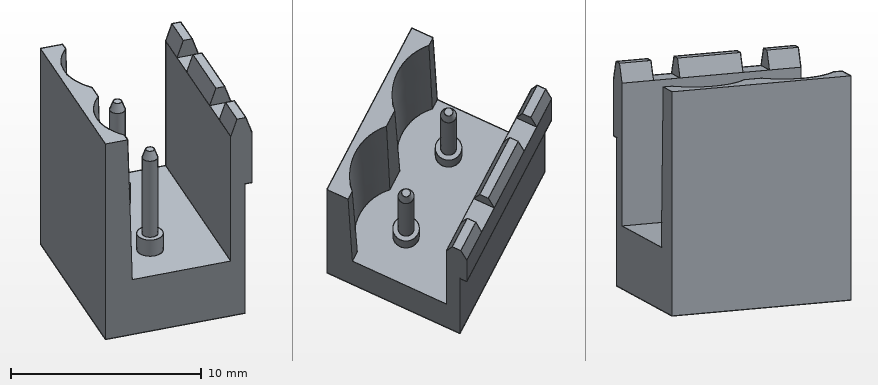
import cadquery as cq


PITCH = 5.08
POLES = 2
LENGTH = PITCH * POLES
HEIGHT = 12.1
FLOOR_Z = 3.4

FRONT_WALL_BASE = 1.5
FRONT_WALL_TOP = 1.25
WALL_DRAFT = FRONT_WALL_BASE - FRONT_WALL_TOP

REAR_INNER_Y = 7.0
REAR_OUTER_Y = 7.8
LIP_Y = 8.2
LIP_Z = 8.0
BEVEL_Z = 11.1
CREST_WIDTH = 0.5
CREST_Y = (REAR_INNER_Y + LIP_Y) / 2
NOTCH_WIDTH = 1.5

PIN_Y = 3.4
COLLAR_DIAMETER = 1.4
COLLAR_TOP_Z = 4.4
PIN_DIAMETER = 0.84
PIN_TAPER_Z = 9.1
PIN_TOP_Z = 9.6
PIN_TIP_DIAMETER = 0.46

SCALLOP_TOP_RADIUS = 2.97
SCALLOP_BASE_RADIUS = SCALLOP_TOP_RADIUS - WALL_DRAFT

pole_xs = [PITCH * (i - (POLES - 1) / 2) for i in range(POLES)]


def make_body():
    """U-shaped housing extruded along the row."""
    profile = [
        (0, 0),
        (REAR_OUTER_Y, 0),
        (REAR_OUTER_Y, LIP_Z),
        (LIP_Y, LIP_Z),
        (LIP_Y, BEVEL_Z),
        (CREST_Y + CREST_WIDTH / 2, HEIGHT),
        (CREST_Y - CREST_WIDTH / 2, HEIGHT),
        (REAR_INNER_Y, BEVEL_Z),
        (REAR_INNER_Y, FLOOR_Z),
        (FRONT_WALL_BASE, FLOOR_Z),
        (FRONT_WALL_TOP, HEIGHT),
        (0, HEIGHT),
    ]
    return cq.Workplane("YZ").polyline(profile).close().extrude(LENGTH / 2, both=True)


def make_scallop(x):
    """Cone that hollows the front wall around a pin; it clears the rear wall."""
    return (
        cq.Workplane("XY", origin=(x, PIN_Y, FLOOR_Z))
        .circle(SCALLOP_BASE_RADIUS)
        .workplane(offset=HEIGHT - FLOOR_Z)
        .circle(SCALLOP_TOP_RADIUS)
        .loft()
    )


def make_crest_notch(x):
    """Block that removes the bevelled crest behind a pin."""
    return cq.Workplane("XY", origin=(x, CREST_Y, BEVEL_Z)).box(
        NOTCH_WIDTH, LIP_Y - REAR_INNER_Y, HEIGHT - BEVEL_Z, centered=(True, True, False)
    )


def make_pin(x):
    """Collared round pin with a tapered tip, standing on the floor."""
    half_profile = [
        (0, FLOOR_Z),
        (COLLAR_DIAMETER / 2, FLOOR_Z),
        (COLLAR_DIAMETER / 2, COLLAR_TOP_Z),
        (PIN_DIAMETER / 2, COLLAR_TOP_Z),
        (PIN_DIAMETER / 2, PIN_TAPER_Z),
        (PIN_TIP_DIAMETER / 2, PIN_TOP_Z),
        (0, PIN_TOP_Z),
    ]
    pin = cq.Workplane("XZ").polyline(half_profile).close().revolve(360, (0, 0), (0, 1))
    return pin.translate((x, PIN_Y, 0))


result = make_body()
for pole_x in pole_xs:
    result = result.cut(make_scallop(pole_x))
    result = result.cut(make_crest_notch(pole_x))
for pole_x in pole_xs:
    result = result.union(make_pin(pole_x))